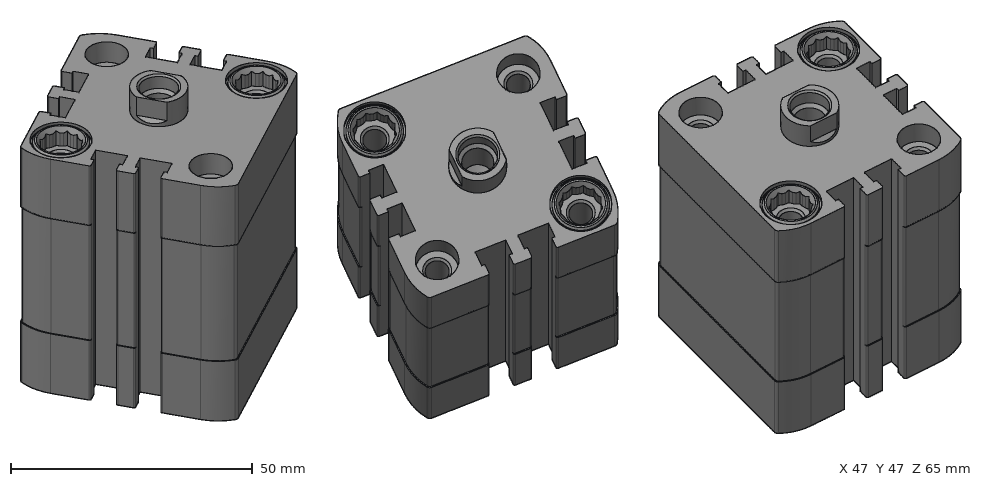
import cadquery as cq
import math

TOTAL_HEIGHT = 65.0
ROD_PROJECTION = 6.0
HOUSING_HEIGHT = TOTAL_HEIGHT - ROD_PROJECTION
HOUSING_WIDTH = 47.0

CAP_HEIGHT = 15.0
BARREL_HEIGHT = HOUSING_HEIGHT - 2 * CAP_HEIGHT
BARREL_INSET = 0.25
HOLE_OFFSET = 16.2
CORNER_RADIUS = 12.5
CORNER_EDGE_RADIUS = 1.0

SLOT_OFFSET = 4.8
SLOT_MOUTH_WIDTH = 5.45
SLOT_INNER_WIDTH = 6.9
SLOT_DEPTH = 5.85
SLOT_LIP_DEPTH = 2.5
SLOT_LIP_RADIUS = 0.4
SLOT_SIDES = (90, 180, 270)

BOLT_HOLE_DIAMETER = 4.95
BOLT_HOLE_CHAMFER_DIAMETER = 6.0
PLAIN_RECESS_DIAMETER = 9.0
PLAIN_RECESS_DEPTH = 5.15

HEAD_RECESS_DIAMETER = 12.8
HEAD_DIAMETER = 11.9
HEAD_CHAMFER = 0.45
HEAD_GROOVE_DEPTH = 1.0
SOCKET_MOUTH_DIAMETER = 10.2
SOCKET_CREST_DIAMETER = 8.5
SOCKET_ROOT_DIAMETER = 9.1
SOCKET_MOUTH_DEPTH = 1.25
SOCKET_DEPTH = 4.5
SPLINE_COUNT = 12
SPLINE_CREST_SHARE = 0.35

ROD_DIAMETER = 12.0
ROD_LENGTH = ROD_PROJECTION + CAP_HEIGHT
ROD_BOTTOM = TOTAL_HEIGHT - ROD_LENGTH
FLATS_WIDTH = 10.0
FLATS_HEIGHT = 4.6
FLATS_RUNOUT = 0.7
ROD_MOUTH_DIAMETER = 9.1
ROD_MOUTH_DEPTH = 0.4
ROD_BORE_DIAMETER = 8.25
ROD_BORE_DEPTH = 3.4
ROD_STEP_DEPTH = 0.65
THREAD_DIAMETER = 6.6
THREAD_DEPTH = 12.0
DRILL_TIP_ANGLE = 118


def turned(profile):
    """Solid of revolution about Z from (radius, height) points."""
    return cq.Workplane("XZ").polyline(profile).close().revolve(360, (0, 0, 0), (0, 1, 0))


def turn_about_axis(x, y, degrees):
    """Point (x, y) turned counterclockwise about the Z axis."""
    angle = math.radians(degrees)
    return (
        x * math.cos(angle) - y * math.sin(angle),
        x * math.sin(angle) + y * math.cos(angle),
    )


def round_upright_edges(body, points, radius):
    """Round the vertical edges that stand on the given (x, y) points."""
    tolerance = 0.005

    def stands_on_point(edge):
        middle = edge.Center()
        return any(math.hypot(middle.x - x, middle.y - y) < tolerance for x, y in points)

    return body.edges("|Z").filter(stands_on_point).fillet(radius)


def slot_cutter(height):
    """T-slot through the middle of the +X side, for a section of the given height."""

    def cut_block(width, outer_x):
        floor_x = HOUSING_WIDTH / 2 - SLOT_DEPTH
        block = cq.Workplane("XY").box(outer_x - floor_x, width, height, centered=(False, True, False))
        return block.translate((floor_x, 0, 0))

    inner = cut_block(SLOT_INNER_WIDTH, HOUSING_WIDTH / 2 - SLOT_LIP_DEPTH)
    mouth = cut_block(SLOT_MOUTH_WIDTH, HOUSING_WIDTH / 2)
    return inner.union(mouth)


def housing_section(inset, height):
    """Slotted prism whose outer faces lie `inset` inside those of the end caps."""
    half = HOUSING_WIDTH / 2 - inset
    radius = CORNER_RADIUS - inset
    arc_centre = half - radius
    arc_run = half - HOLE_OFFSET

    def arc_y(run):
        return arc_centre + math.sqrt(radius**2 - run**2)

    corner_y = arc_y(arc_run)
    arc_middle = (HOLE_OFFSET + arc_run / 2, arc_y(arc_run / 2))
    quarter = (
        cq.Workplane("XY")
        .moveTo(0, 0)
        .lineTo(0, half)
        .lineTo(HOLE_OFFSET, half)
        .threePointArc(arc_middle, (half, corner_y))
        .lineTo(half, 0)
        .close()
        .extrude(height)
    )
    right_half = quarter.union(quarter.mirror("XZ"))
    section = right_half.union(right_half.mirror("YZ"))

    corner_points = [(x, y) for x in (-half, half) for y in (-corner_y, corner_y)]
    section = round_upright_edges(section, corner_points, CORNER_EDGE_RADIUS)

    lip_points = []
    for side in SLOT_SIDES:
        for offset in (-SLOT_OFFSET, SLOT_OFFSET):
            cutter = slot_cutter(height).translate((0, offset, 0))
            section = section.cut(cutter.rotate((0, 0, 0), (0, 0, 1), side))
            for lip_y in (offset - SLOT_MOUTH_WIDTH / 2, offset + SLOT_MOUTH_WIDTH / 2):
                lip_points.append(turn_about_axis(half, lip_y, side))
    return round_upright_edges(section, lip_points, SLOT_LIP_RADIUS)


def bolt_hole(recess_depth):
    """Through hole with a chamfer at the floor of a recess of the given depth."""
    floor_z = HOUSING_HEIGHT - recess_depth
    hole_radius = BOLT_HOLE_DIAMETER / 2
    chamfer_radius = BOLT_HOLE_CHAMFER_DIAMETER / 2
    return turned([
        (0, 0),
        (hole_radius, 0),
        (hole_radius, floor_z - (chamfer_radius - hole_radius)),
        (chamfer_radius, floor_z),
        (0, floor_z),
    ])


def plain_corner_cutter():
    """Bolt hole with a plain cylindrical recess."""
    recess = (
        cq.Workplane("XY")
        .workplane(offset=HOUSING_HEIGHT - PLAIN_RECESS_DEPTH)
        .circle(PLAIN_RECESS_DIAMETER / 2)
        .extrude(PLAIN_RECESS_DEPTH)
    )
    return bolt_hole(PLAIN_RECESS_DEPTH).union(recess)


def spline_socket():
    """Twelve-point socket with flat tooth crests and pointed roots."""
    pitch = 2 * math.pi / SPLINE_COUNT
    crest_half_angle = pitch * SPLINE_CREST_SHARE / 2
    points = []
    for tooth in range(SPLINE_COUNT):
        root_angle = tooth * pitch
        crest_angle = root_angle + pitch / 2
        for radius, angle in (
            (SOCKET_ROOT_DIAMETER / 2, root_angle),
            (SOCKET_CREST_DIAMETER / 2, crest_angle - crest_half_angle),
            (SOCKET_CREST_DIAMETER / 2, crest_angle + crest_half_angle),
        ):
            points.append((radius * math.cos(angle), radius * math.sin(angle)))
    return (
        cq.Workplane("XY")
        .workplane(offset=HOUSING_HEIGHT - SOCKET_DEPTH)
        .polyline(points)
        .close()
        .extrude(SOCKET_DEPTH)
    )


def screw_corner_cutter():
    """Everything cut around and inside a splined screw head, with its bolt hole."""
    recess_radius = HEAD_RECESS_DIAMETER / 2
    head_radius = HEAD_DIAMETER / 2
    groove = turned([
        (recess_radius, HOUSING_HEIGHT),
        (recess_radius, HOUSING_HEIGHT - HEAD_GROOVE_DEPTH),
        (head_radius, HOUSING_HEIGHT - HEAD_GROOVE_DEPTH),
        (head_radius, HOUSING_HEIGHT - HEAD_CHAMFER),
        (head_radius - HEAD_CHAMFER, HOUSING_HEIGHT),
    ])
    mouth = turned([
        (0, HOUSING_HEIGHT),
        (SOCKET_MOUTH_DIAMETER / 2, HOUSING_HEIGHT),
        (SOCKET_CREST_DIAMETER / 2, HOUSING_HEIGHT - SOCKET_MOUTH_DEPTH),
        (0, HOUSING_HEIGHT - SOCKET_MOUTH_DEPTH),
    ])
    return bolt_hole(SOCKET_DEPTH).union(spline_socket()).union(mouth).union(groove)


def make_housing():
    cap = housing_section(0, CAP_HEIGHT)
    barrel = housing_section(BARREL_INSET, BARREL_HEIGHT)
    body = (
        cap.union(barrel.translate((0, 0, CAP_HEIGHT)))
        .union(cap.translate((0, 0, CAP_HEIGHT + BARREL_HEIGHT)))
    )
    for direction in (-1, 1):
        place = direction * HOLE_OFFSET
        body = body.cut(screw_corner_cutter().translate((place, place, 0)))
        body = body.cut(plain_corner_cutter().translate((place, -place, 0)))
    rod_recess = (
        cq.Workplane("XY")
        .workplane(offset=ROD_BOTTOM)
        .circle(ROD_DIAMETER / 2)
        .extrude(HOUSING_HEIGHT - ROD_BOTTOM)
    )
    return body.cut(rod_recess)


def flat_cutter():
    """Wedge-footed cut that leaves a wrench flat on the +Y side of the rod."""
    flat_y = FLATS_WIDTH / 2
    outer_y = ROD_DIAMETER / 2
    foot_z = TOTAL_HEIGHT - FLATS_HEIGHT
    return (
        cq.Workplane("YZ")
        .polyline([
            (flat_y, TOTAL_HEIGHT),
            (flat_y, foot_z),
            (outer_y, foot_z - FLATS_RUNOUT),
            (outer_y, TOTAL_HEIGHT),
        ])
        .close()
        .extrude(ROD_DIAMETER / 2, both=True)
    )


def rod_bore():
    """Chamfered bore, conical step down to the threaded hole, and its drill tip."""
    mouth_radius = ROD_MOUTH_DIAMETER / 2
    bore_radius = ROD_BORE_DIAMETER / 2
    thread_radius = THREAD_DIAMETER / 2
    tip_height = thread_radius / math.tan(math.radians(DRILL_TIP_ANGLE / 2))
    step_z = TOTAL_HEIGHT - ROD_BORE_DEPTH
    thread_end_z = TOTAL_HEIGHT - THREAD_DEPTH
    return turned([
        (0, TOTAL_HEIGHT),
        (mouth_radius, TOTAL_HEIGHT),
        (bore_radius, TOTAL_HEIGHT - ROD_MOUTH_DEPTH),
        (bore_radius, step_z),
        (thread_radius, step_z - ROD_STEP_DEPTH),
        (thread_radius, thread_end_z),
        (0, thread_end_z - tip_height),
    ])


def make_rod():
    rod = cq.Workplane("XY").workplane(offset=ROD_BOTTOM).circle(ROD_DIAMETER / 2).extrude(ROD_LENGTH)
    for side in (0, 180):
        rod = rod.cut(flat_cutter().rotate((0, 0, 0), (0, 0, 1), side))
    return rod.cut(rod_bore())


housing = make_housing()
piston_rod = make_rod()
result = cq.Compound.makeCompound([housing.val(), piston_rod.val()])